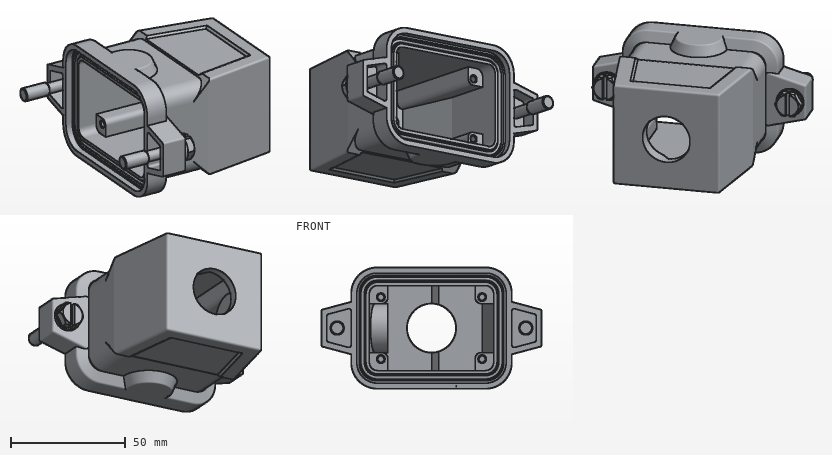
import cadquery as cq
import math

CORNER_X = 23.55
CORNER_Z = 15.0

FLANGE_CORNER = 11.5
FLANGE_SIDE_HEIGHT = 9.8
FLANGE_TOP = 11.9
FLANGE_EDGE_FILLET = 1.0
RECESS_CORNER = 9.0
RECESS_DEPTH = 3.2

GROOVE_OUTER_CORNER = 8.0
GROOVE_INNER_CORNER = 5.0
GROOVE_DEPTH = 1.0
GROOVE_DRAFT = 17.0
BEAD_CENTRE_CORNER = (GROOVE_OUTER_CORNER + GROOVE_INNER_CORNER) / 2
BEAD_RADIUS = 0.75

NECK_HALF_X = 30.0
NECK_HALF_Z = 21.5
NECK_FILLET = 7.0
HOOD_HALF_Z = 23.1
HOOD_TAPER_START = 34.1
HOOD_TOP = 70.0
HOOD_TOP_HALF_X = 23.8
HOOD_FILLET = 1.0
UNDERCUT_START = 12.3
TAPER_SLOPE = (NECK_HALF_X - HOOD_TOP_HALF_X) / (HOOD_TOP - HOOD_TAPER_START)

PANEL_TOP = 63.2
PANEL_TOP_HALF_X = 17.9
PANEL_DEPTH = 1.05
PANEL_WALL_ANGLE = 45.0

PAD_RADIUS = 12.5
PAD_CENTRE_Y = 12.0
PAD_BOTTOM = 5.0
PAD_TAPER = 24.0
PAD_FILLET = 0.7

CAVITY_CORNER = 3.5
CAVITY_HALF_X = CORNER_X + CAVITY_CORNER
CAVITY_HALF_Z = CORNER_Z + CAVITY_CORNER
SHALLOW_FLOOR = 62.7
FLOOR_STEP = 3.1
CABLE_HOLE_RADIUS = 10.65
SIDE_BOSS_Y = 47.6
POST_FRONT = 12.0
POST_INNER_X = 19.1
POST_INNER_Z = 10.65
POST_FILLET = 2.5
POST_HOLE_X = 22.05
POST_HOLE_Z = 13.5
POST_HOLE_DIAMETER = 2.8
POST_HOLE_CHAMFER = 0.4
POST_HOLE_DEPTH = 10.0

EAR_END_X = 48.0
EAR_END_HALF_Z = 8.0
EAR_SIDE_ANGLE = 15.0
EAR_SLOPE = math.tan(math.radians(EAR_SIDE_ANGLE))
EAR_HEIGHT = FLANGE_TOP
EAR_FILLET = 1.0
EAR_POCKET_END_X = 45.65
EAR_POCKET_END_HALF_Z = 5.9
EAR_POCKET_DEPTH = 7.0
EAR_POCKET_FILLET = 1.0

SCREW_X = 41.1
SHANK_RADIUS = 2.4
THREAD_RADIUS = 3.0
THREAD_START = -4.5
SCREW_TIP = -16.6
THREAD_CHAMFER = 0.4
WASHER_RADIUS = 6.0
WASHER_TOP = 13.4
HEAD_TOP = 17.4
HEAD_CORNER_RADIUS = 5.9
HEAD_CHAMFER = 1.0
SLOT_WIDTH = 1.9
SLOT_DEPTH = 2.1

SELECT_TOLERANCE = 0.01


def plane_at(y):
    """Workplane parallel to the mating plane at height y: local axes +X and -Z, normal +Y."""
    return cq.Workplane(cq.Plane((0, y, 0), (1, 0, 0), (0, 1, 0)))


def lengthwise_plane(z):
    """Workplane at height z with local axes +Y and -X, normal +Z."""
    return cq.Workplane(cq.Plane((0, 0, z), (0, 1, 0), (0, 0, 1)))


def rounded_block(corner, y_start, y_end):
    """Block whose rounded corners are centred on the common corner centres."""
    block = plane_at(y_start).rect(2 * (CORNER_X + corner), 2 * (CORNER_Z + corner))
    return block.extrude(y_end - y_start).edges("|Y").fillet(corner)


def drafted_block(corner, y_start, height, draft):
    """Rounded block whose outline at y_start moves inward by the draft angle toward +Y."""
    outline = rounded_block(corner, y_start - height, y_start).faces(">Y").wires().toPending()
    return outline.extrude(height, taper=draft, combine=False)


def edges_at_height(y):
    """Selector for the edges lying in the plane at height y."""
    low_corner = (-EAR_END_X, y - SELECT_TOLERANCE, -EAR_END_X)
    high_corner = (EAR_END_X, y + SELECT_TOLERANCE, EAR_END_X)
    return cq.selectors.BoxSelector(low_corner, high_corner, boundingbox=True)


def trapezoid(workplane, start, start_half_width, end, end_half_width):
    """Outline symmetric about the local X axis, reaching from x = start to x = end."""
    return (
        workplane.moveTo(start, -start_half_width)
        .lineTo(end, -end_half_width)
        .lineTo(end, end_half_width)
        .lineTo(start, start_half_width)
        .close()
    )


def disc(x, y_start, y_end, radius):
    return plane_at(y_start).center(x, 0).circle(radius).extrude(y_end - y_start)


def make_flange():
    """Flange whose sloped shoulder rises to meet the broad sides of the neck."""
    side = rounded_block(FLANGE_CORNER, 0, FLANGE_SIDE_HEIGHT)
    slope_height = FLANGE_TOP - FLANGE_SIDE_HEIGHT
    slope_run = CORNER_Z + FLANGE_CORNER - NECK_HALF_Z
    slope_draft = math.degrees(math.atan2(slope_run, slope_height))
    slope = drafted_block(FLANGE_CORNER, FLANGE_SIDE_HEIGHT, slope_height, slope_draft)
    flange = side.union(slope)
    return flange.edges(edges_at_height(FLANGE_SIDE_HEIGHT)).fillet(FLANGE_EDGE_FILLET)


def make_neck():
    neck = plane_at(0).rect(2 * NECK_HALF_X, 2 * NECK_HALF_Z).extrude(HOOD_TAPER_START)
    return neck.edges("|Y").fillet(NECK_FILLET)


def make_hood():
    outline = trapezoid(
        lengthwise_plane(0), HOOD_TAPER_START, NECK_HALF_X, HOOD_TOP, HOOD_TOP_HALF_X
    )
    tapered = outline.extrude(HOOD_HALF_Z, both=True)
    rounded_edges = cq.selectors.InverseSelector(edges_at_height(HOOD_TAPER_START))
    tapered = tapered.edges(rounded_edges).fillet(HOOD_FILLET)
    skirt = plane_at(UNDERCUT_START).rect(2 * NECK_HALF_X, 2 * HOOD_HALF_Z).extrude(
        HOOD_TAPER_START - UNDERCUT_START
    )
    wedge = (
        cq.Workplane("YZ")
        .moveTo(UNDERCUT_START, 0)
        .lineTo(HOOD_TOP, HOOD_TOP - UNDERCUT_START)
        .lineTo(HOOD_TOP, UNDERCUT_START - HOOD_TOP)
        .close()
        .extrude(NECK_HALF_X, both=True)
    )
    return tapered.union(skirt).intersect(wedge)


def make_panel_cut():
    panel_bottom_half_x = PANEL_TOP_HALF_X + (PANEL_TOP - UNDERCUT_START) * TAPER_SLOPE
    outline = trapezoid(
        lengthwise_plane(HOOD_HALF_Z), UNDERCUT_START, panel_bottom_half_x, PANEL_TOP, PANEL_TOP_HALF_X
    )
    return outline.extrude(-PANEL_DEPTH, taper=PANEL_WALL_ANGLE)


def make_pad():
    pad = (
        cq.Workplane("XY", origin=(0, 0, NECK_HALF_Z))
        .moveTo(-PAD_RADIUS, PAD_BOTTOM)
        .lineTo(-PAD_RADIUS, PAD_CENTRE_Y)
        .threePointArc((0, PAD_CENTRE_Y + PAD_RADIUS), (PAD_RADIUS, PAD_CENTRE_Y))
        .lineTo(PAD_RADIUS, PAD_BOTTOM)
        .close()
        .extrude(CORNER_Z + FLANGE_CORNER - NECK_HALF_Z, taper=PAD_TAPER)
    )
    return pad.faces(">Z").edges().fillet(PAD_FILLET)


def make_ear():
    """Right-hand ear, running inward over the flange into the wall of the neck."""
    root_x = (NECK_HALF_X + CAVITY_HALF_X) / 2
    root_half_z = EAR_END_HALF_Z + (EAR_END_X - root_x) * EAR_SLOPE
    outline = trapezoid(plane_at(0), root_x, root_half_z, EAR_END_X, EAR_END_HALF_Z)
    ear = outline.extrude(EAR_HEIGHT)
    ear = ear.edges("|Y and >X").fillet(EAR_FILLET)
    return ear.faces(">Y").edges("not <X").fillet(EAR_FILLET)


def make_ear_pocket():
    root_x = CORNER_X + FLANGE_CORNER
    root_half_z = EAR_POCKET_END_HALF_Z + (EAR_POCKET_END_X - root_x) * EAR_SLOPE
    outline = trapezoid(plane_at(0), root_x, root_half_z, EAR_POCKET_END_X, EAR_POCKET_END_HALF_Z)
    return outline.extrude(EAR_POCKET_DEPTH).edges("|Y").fillet(EAR_POCKET_FILLET)


def make_screw():
    """Slotted hexagon screw with a corner of its head on the X axis."""
    shank = disc(SCREW_X, THREAD_START, WASHER_TOP, SHANK_RADIUS)
    thread = disc(SCREW_X, SCREW_TIP, THREAD_START, THREAD_RADIUS).edges().chamfer(THREAD_CHAMFER)
    washer = disc(SCREW_X, EAR_HEIGHT, WASHER_TOP, WASHER_RADIUS)
    hexagon = (
        plane_at(WASHER_TOP)
        .center(SCREW_X, 0)
        .polygon(6, 2 * HEAD_CORNER_RADIUS)
        .extrude(HEAD_TOP - WASHER_TOP)
    )
    head_limit = disc(SCREW_X, WASHER_TOP, HEAD_TOP, HEAD_CORNER_RADIUS)
    head_limit = head_limit.faces(">Y").edges().chamfer(HEAD_CHAMFER)
    slot = (
        plane_at(HEAD_TOP - SLOT_DEPTH)
        .center(SCREW_X, 0)
        .rect(SLOT_WIDTH, 2 * WASHER_RADIUS)
        .extrude(SLOT_DEPTH)
    )
    head = hexagon.intersect(head_limit).cut(slot)
    return shank.union(thread).union(washer).union(head)


def make_post():
    """Corner post in the +X -Z corner, running the full length of the cavity."""
    width = CAVITY_HALF_X - POST_INNER_X
    height = CAVITY_HALF_Z - POST_INNER_Z
    post = (
        plane_at(POST_FRONT)
        .center(POST_INNER_X + width / 2, POST_INNER_Z + height / 2)
        .rect(width, height)
        .extrude(HOOD_TOP - POST_FRONT)
    )
    post = post.edges("|Y and <X and >Z").fillet(POST_FILLET)
    hole = (
        plane_at(POST_FRONT)
        .center(POST_HOLE_X, POST_HOLE_Z)
        .circle(POST_HOLE_DIAMETER / 2)
        .extrude(POST_HOLE_DEPTH)
    )
    post = post.cut(hole)
    mouth = post.faces("<Y").edges("%CIRCLE").edges(cq.selectors.RadiusNthSelector(0))
    return mouth.chamfer(POST_HOLE_CHAMFER)


def make_cavity():
    """Interior space: tapered toward the back, less the corner posts and the side boss."""
    deep_floor = SHALLOW_FLOOR + FLOOR_STEP
    shallow_half_x = CAVITY_HALF_X - (SHALLOW_FLOOR - HOOD_TAPER_START) * TAPER_SLOPE
    deep_half_x = CAVITY_HALF_X - (deep_floor - HOOD_TAPER_START) * TAPER_SLOPE
    outline = (
        cq.Workplane("XY")
        .moveTo(-CAVITY_HALF_X, 0)
        .lineTo(-CAVITY_HALF_X, HOOD_TAPER_START)
        .lineTo(-deep_half_x, deep_floor)
        .lineTo(0, deep_floor)
        .lineTo(FLOOR_STEP, SHALLOW_FLOOR)
        .lineTo(shallow_half_x, SHALLOW_FLOOR)
        .lineTo(CAVITY_HALF_X, HOOD_TAPER_START)
        .lineTo(CAVITY_HALF_X, 0)
        .close()
        .extrude(CAVITY_HALF_Z, both=True)
    )
    cavity = outline.intersect(rounded_block(CAVITY_CORNER, 0, HOOD_TOP))
    post = make_post()
    lower_posts = post.union(post.mirror("YZ"))
    side_boss = (
        cq.Workplane("YZ", origin=(-NECK_HALF_X, 0, 0))
        .center(SIDE_BOSS_Y, 0)
        .circle(CABLE_HOLE_RADIUS)
        .extrude(NECK_HALF_X - POST_INNER_X)
    )
    return cavity.cut(lower_posts).cut(lower_posts.mirror("XY")).cut(side_boss)


def make_gasket_groove():
    """Groove between two drafted walls that lean toward each other at the floor."""
    outer = drafted_block(GROOVE_OUTER_CORNER, RECESS_DEPTH, GROOVE_DEPTH, GROOVE_DRAFT)
    inner = drafted_block(GROOVE_INNER_CORNER, RECESS_DEPTH, GROOVE_DEPTH, -GROOVE_DRAFT)
    return outer.cut(inner)


def make_gasket_bead():
    """Bead with a half-round crest level with the recess floor, standing on the groove floor."""
    groove_floor = RECESS_DEPTH + GROOVE_DEPTH
    crest_y = RECESS_DEPTH + BEAD_RADIUS
    path = rounded_block(BEAD_CENTRE_CORNER, 0, crest_y).faces(">Y").wires()
    crest = (
        cq.Workplane("YZ", origin=(0, crest_y, CORNER_Z + BEAD_CENTRE_CORNER))
        .circle(BEAD_RADIUS)
        .sweep(path)
    )
    base = rounded_block(BEAD_CENTRE_CORNER + BEAD_RADIUS, crest_y, groove_floor)
    base = base.cut(rounded_block(BEAD_CENTRE_CORNER - BEAD_RADIUS, crest_y, groove_floor))
    return base.union(crest)


body = make_flange().union(make_neck()).union(make_hood())
panel = make_panel_cut()
body = body.cut(panel).cut(panel.mirror("XY"))
pad = make_pad()
body = body.union(pad).union(pad.mirror("XY"))

ear = make_ear()
body = body.union(ear).union(ear.mirror("YZ"))
ear_pocket = make_ear_pocket()
body = body.cut(ear_pocket).cut(ear_pocket.mirror("YZ"))

body = body.cut(make_cavity())
body = body.cut(disc(0, POST_FRONT, HOOD_TOP, CABLE_HOLE_RADIUS))
body = body.cut(rounded_block(RECESS_CORNER, 0, RECESS_DEPTH))
body = body.cut(make_gasket_groove()).union(make_gasket_bead())

screw = make_screw()
result = body.union(screw).union(screw.mirror("YZ"))